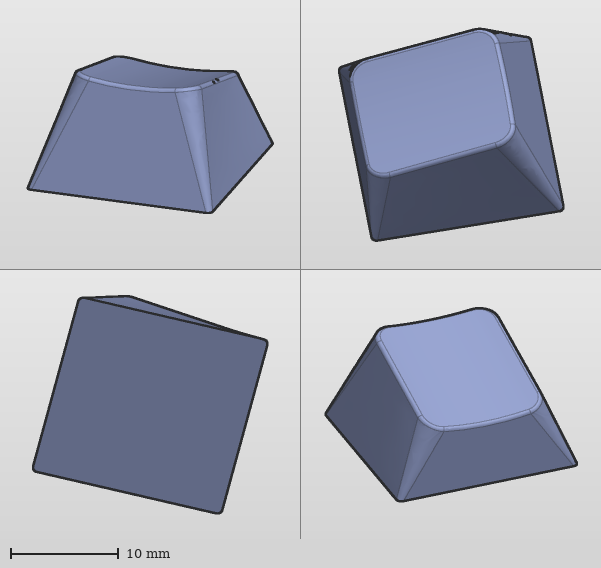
import cadquery as cq
import math

base_size = 18.1
base_corner_radius = 0.5

top_width = 12.1
top_length = 14.3
top_corner_radius = 2.08
top_center_y = 1.85
top_center_z = 8.83
tilt_angle = 15.0

dish_radius = 30.0
rim_radius = 0.4

dish_axis_height = math.sqrt(dish_radius**2 - (top_width / 2) ** 2)


def rounded_rectangle(width, length, corner_radius):
    return cq.Sketch().rect(width, length).vertices().fillet(corner_radius)


def tapered_body():
    """Straight-sided loft from the square base to the tilted top."""
    base = rounded_rectangle(base_size, base_size, base_corner_radius)
    top = rounded_rectangle(top_width, top_length, top_corner_radius)
    top_place = cq.Location(
        cq.Vector(0, top_center_y, top_center_z),
        cq.Vector(1, 0, 0),
        -tilt_angle,
    )
    return cq.Workplane("XY").placeSketch(base, top.moved(top_place)).loft(ruled=True)


def dish_cutter():
    """Cylinder that runs front to back, parallel to the tilted top."""
    return (
        cq.Workplane("XZ")
        .center(0, dish_axis_height)
        .circle(dish_radius)
        .extrude(base_size, both=True)
        .rotate((0, 0, 0), (1, 0, 0), -tilt_angle)
        .translate((0, top_center_y, top_center_z))
    )


def round_rim(body):
    """Round the whole edge around the dished top, the highest face."""
    return body.faces(">Z").edges().fillet(rim_radius)


result = round_rim(tapered_body().cut(dish_cutter()))